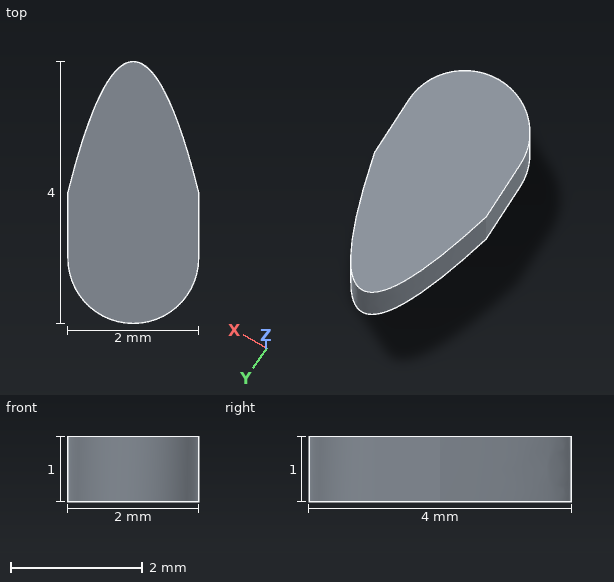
import cadquery as cq

width = 2.0
thickness = 1.0
straight_length = 1.0
nose_length = 2.0

half_width = width / 2
straight_end_y = straight_length
nose_control_y = straight_end_y + 2 * nose_length


def teardrop_outline():
    """Round tail centred on the origin, parallel sides and a parabolic nose along +Y."""
    return (
        cq.Workplane("XY")
        .moveTo(-half_width, 0)
        .threePointArc((0, -half_width), (half_width, 0))
        .lineTo(half_width, straight_end_y)
        .bezier([
            (half_width, straight_end_y),
            (0, nose_control_y),
            (-half_width, straight_end_y),
        ])
        .close()
    )


result = teardrop_outline().extrude(thickness)